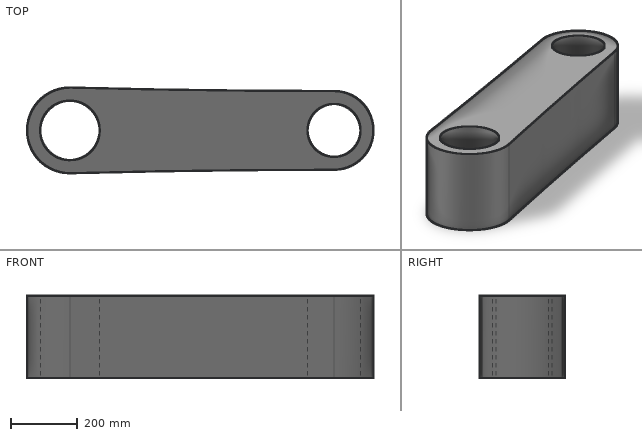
import cadquery as cq
import math

length = 1050.0
height = 250.0
large_radius = 130.0
small_radius = 120.0
large_bore = 180.0
small_bore = 160.0

large_x = -length / 2 + large_radius
small_x = length / 2 - small_radius

span = small_x - large_x
drop = large_radius - small_radius
flank_radius = (span**2 + drop**2) / (2 * drop)
flank_mid_x = (large_x + small_x) / 2
flank_mid_y = small_radius + flank_radius - math.sqrt(flank_radius**2 - (span / 2) ** 2)

body = (
    cq.Workplane("XY")
    .workplane(offset=-height / 2)
    .moveTo(large_x, large_radius)
    .threePointArc((flank_mid_x, flank_mid_y), (small_x, small_radius))
    .threePointArc((length / 2, 0), (small_x, -small_radius))
    .threePointArc((flank_mid_x, -flank_mid_y), (large_x, -large_radius))
    .threePointArc((-length / 2, 0), (large_x, large_radius))
    .close()
    .extrude(height)
)


def cut_bore(part, center_x, diameter):
    """Cut a through bore along Z at the centre of an eye."""
    bore = cq.Workplane("XY").center(center_x, 0).circle(diameter / 2).extrude(height, both=True)
    return part.cut(bore)


result = cut_bore(body, large_x, large_bore)
result = cut_bore(result, small_x, small_bore)